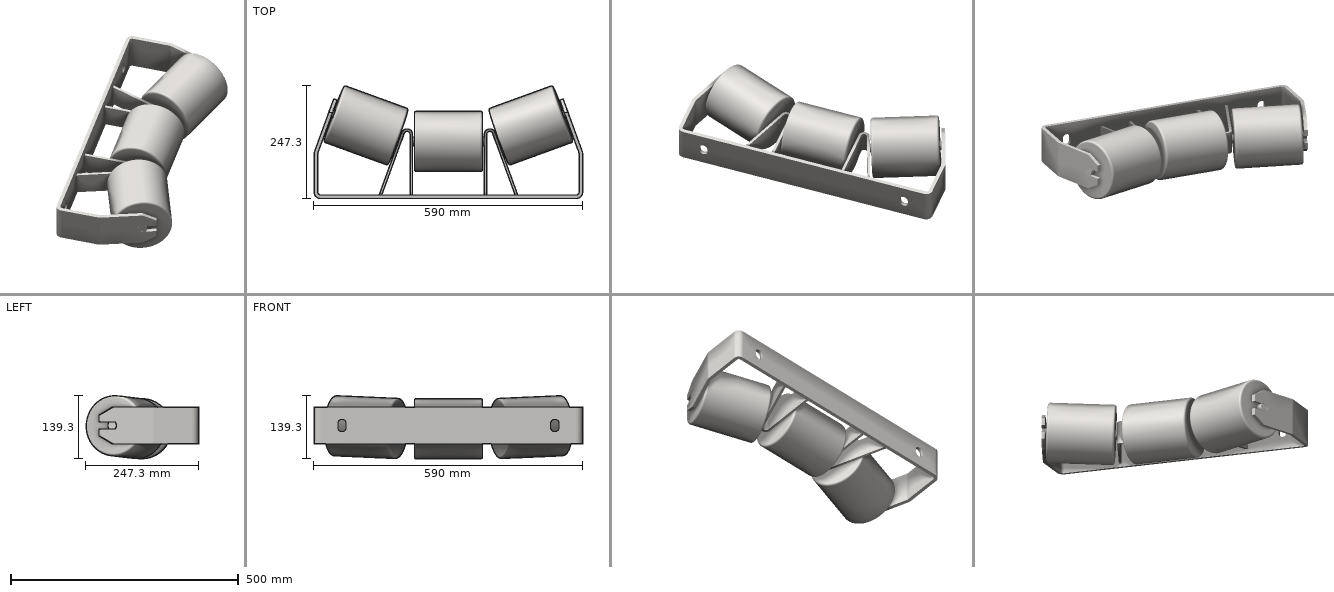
import cadquery as cq
import math

TILT = 20.0
COS = math.cos(math.radians(TILT))
SIN = math.sin(math.radians(TILT))

FRAME_LENGTH = 590.0
FRAME_WIDTH = 80.0
FRAME_THICKNESS = 8.0
BEND_RADIUS = 14.0
ARM_BEND_Y = 98.5
ARM_LENGTH = 123.5
TIP_CHAMFER_LENGTH = 30.5
TIP_CHAMFER_WIDTH = 17.0
MOUNT_SLOT_SPACING = 467.0
MOUNT_SLOT_WIDTH = 18.0
MOUNT_SLOT_HEIGHT = 27.0

ROLLER_LENGTH = 150.0
ROLLER_DIAMETER = 133.0
ROLLER_FILLET = 5.0
AXLE_DIAMETER = 20.0
AXLE_FLATS = 15.5
SLOT_CLEARANCE = 0.7
END_GAP = 3.5
SLANT_GAP = 4.0
AXLE_ON_ARM = 92.5
CENTRE_ROLLER_Y = 125.5
BRACKET_AXLE_Z = -7.0

BRACKET_THICKNESS = 6.0
BRACKET_BEND_RADIUS = 12.5
BRACKET_WIDTH = 50.0

BEND_CENTRE_X = BEND_RADIUS - FRAME_LENGTH / 2
ARM_X = BEND_CENTRE_X - BEND_RADIUS * COS
ARM_Y = ARM_BEND_Y + BEND_RADIUS * SIN

ARM_AXLE_X = ARM_X + AXLE_ON_ARM * SIN
ARM_AXLE_Y = ARM_Y + AXLE_ON_ARM * COS
ARM_STUB = FRAME_THICKNESS + END_GAP
SIDE_OFFSET = ARM_STUB + ROLLER_LENGTH / 2
SIDE_X = ARM_AXLE_X + SIDE_OFFSET * COS
SIDE_Y = ARM_AXLE_Y - SIDE_OFFSET * SIN
SLANT_STUB = BRACKET_THICKNESS + SLANT_GAP
SIDE_DROP = math.degrees(math.asin(-BRACKET_AXLE_Z / (ROLLER_LENGTH + ARM_STUB + SLANT_STUB)))
SIDE_Z = BRACKET_AXLE_Z / 2

STRAIGHT_STUB = BRACKET_THICKNESS + END_GAP
LEG_FACE_X = -(ROLLER_LENGTH / 2 + END_GAP)
FOLD_X = LEG_FACE_X - BRACKET_BEND_RADIUS
FOLD_TO_SIDE_ROLLER = ROLLER_LENGTH / 2 + SLANT_GAP + BRACKET_BEND_RADIUS
FOLD_Y = SIDE_Y + ((FOLD_X - SIDE_X) * COS - FOLD_TO_SIDE_ROLLER) / SIN


def bend_point(centre, radius, angle):
    """Point on a bend at an angle in degrees from +X."""
    turn = math.radians(angle)
    return centre[0] + radius * math.cos(turn), centre[1] + radius * math.sin(turn)


def mirrored(body):
    """Copy of a left body on the right side."""
    return body.mirror("YZ")


def make_half_strip():
    """Left half of the frame strip, a bent outline extruded over the width."""
    inner_radius = BEND_RADIUS - FRAME_THICKNESS
    corner = (BEND_CENTRE_X, BEND_RADIUS)
    elbow = (BEND_CENTRE_X, ARM_BEND_Y)
    tip_outer = (ARM_X + ARM_LENGTH * SIN, ARM_Y + ARM_LENGTH * COS)
    tip_inner = (tip_outer[0] + FRAME_THICKNESS * COS, tip_outer[1] - FRAME_THICKNESS * SIN)
    leaned = 180 - TILT
    return (
        cq.Workplane("XY", origin=(0, 0, -FRAME_WIDTH / 2))
        .moveTo(0, 0)
        .lineTo(corner[0], 0)
        .threePointArc(bend_point(corner, BEND_RADIUS, 225), bend_point(corner, BEND_RADIUS, 180))
        .lineTo(*bend_point(elbow, BEND_RADIUS, 180))
        .threePointArc(bend_point(elbow, BEND_RADIUS, 180 - TILT / 2), bend_point(elbow, BEND_RADIUS, leaned))
        .lineTo(*tip_outer)
        .lineTo(*tip_inner)
        .lineTo(*bend_point(elbow, inner_radius, leaned))
        .threePointArc(bend_point(elbow, inner_radius, 180 - TILT / 2), bend_point(elbow, inner_radius, 180))
        .lineTo(*bend_point(corner, inner_radius, 180))
        .threePointArc(bend_point(corner, inner_radius, 225), bend_point(corner, inner_radius, 270))
        .lineTo(0, FRAME_THICKNESS)
        .close()
        .extrude(FRAME_WIDTH)
    )


def arm_plane():
    """Plane on the arm's outer face at the axle: local x along the arm, normal into the frame."""
    return cq.Plane(origin=(ARM_AXLE_X, ARM_AXLE_Y, 0), xDir=(SIN, COS, 0), normal=(COS, -SIN, 0))


def cut_arm_tip(strip):
    """Chamfer both corners of the arm tip and cut the open axle slot."""
    tip = ARM_LENGTH - AXLE_ON_ARM
    half_width = FRAME_WIDTH / 2
    for side in (1, -1):
        corner = (
            cq.Workplane(arm_plane())
            .polyline([
                (tip, side * half_width),
                (tip - TIP_CHAMFER_LENGTH, side * half_width),
                (tip, side * (half_width - TIP_CHAMFER_WIDTH)),
            ])
            .close()
            .extrude(FRAME_THICKNESS)
        )
        strip = strip.cut(corner)
    slot_width = AXLE_FLATS + SLOT_CLEARANCE
    seat_diameter = AXLE_DIAMETER + SLOT_CLEARANCE
    slot_band = cq.Workplane(arm_plane()).rect(2 * tip, slot_width).extrude(FRAME_THICKNESS)
    seat = cq.Workplane(arm_plane()).circle(seat_diameter / 2).extrude(FRAME_THICKNESS).intersect(slot_band)
    mouth = cq.Workplane(arm_plane()).center(tip / 2, 0).rect(tip, slot_width).extrude(FRAME_THICKNESS)
    return strip.cut(seat).cut(mouth)


def make_frame():
    """Whole strip with two upright mounting slots in its back plate."""
    half = cut_arm_tip(make_half_strip())
    mount_slots = (
        cq.Workplane("XZ")
        .pushPoints([(-MOUNT_SLOT_SPACING / 2, 0), (MOUNT_SLOT_SPACING / 2, 0)])
        .slot2D(MOUNT_SLOT_HEIGHT, MOUNT_SLOT_WIDTH, 90)
        .extrude(-FRAME_THICKNESS)
    )
    return half.union(mirrored(half)).cut(mount_slots)


def make_roller(left_stub, right_stub):
    """Roller along X about the origin, with an axle stub at each end."""
    drum = (
        cq.Workplane("YZ", origin=(-ROLLER_LENGTH / 2, 0, 0))
        .circle(ROLLER_DIAMETER / 2)
        .extrude(ROLLER_LENGTH)
        .faces("<X or >X")
        .edges()
        .fillet(ROLLER_FILLET)
    )
    axle = (
        cq.Workplane("YZ", origin=(-ROLLER_LENGTH / 2 - left_stub, 0, 0))
        .circle(AXLE_DIAMETER / 2)
        .extrude(left_stub + ROLLER_LENGTH + right_stub)
    )
    return drum.union(axle)


def make_side_roller():
    """Left side roller, with flats on the axle end that sits in the arm slot."""
    roller = make_roller(ARM_STUB, SLANT_STUB)
    for side in (1, -1):
        flat = cq.Workplane().box(ARM_STUB, AXLE_DIAMETER, AXLE_DIAMETER).translate(
            (-ROLLER_LENGTH / 2 - ARM_STUB / 2, 0, side * (AXLE_FLATS + AXLE_DIAMETER) / 2)
        )
        roller = roller.cut(flat)
    return (
        roller.rotate((0, 0, 0), (0, 1, 0), SIDE_DROP)
        .rotate((0, 0, 0), (0, 0, 1), -TILT)
        .translate((SIDE_X, SIDE_Y, SIDE_Z))
    )


def make_bracket(rollers):
    """Left bracket: a straight and a slanted leg joined by a fold, bored for the axles of the rollers."""
    fold = (FOLD_X, FOLD_Y)
    inner_radius = BRACKET_BEND_RADIUS - BRACKET_THICKNESS
    slant_angle = 180 - TILT
    top_angle = slant_angle / 2

    def slant_foot(radius):
        start_x, start_y = bend_point(fold, radius, slant_angle)
        return start_x - (start_y - FRAME_THICKNESS) * SIN / COS, FRAME_THICKNESS

    bracket = (
        cq.Workplane("XY", origin=(0, 0, BRACKET_AXLE_Z - BRACKET_WIDTH / 2))
        .moveTo(LEG_FACE_X, FRAME_THICKNESS)
        .lineTo(*bend_point(fold, BRACKET_BEND_RADIUS, 0))
        .threePointArc(
            bend_point(fold, BRACKET_BEND_RADIUS, top_angle),
            bend_point(fold, BRACKET_BEND_RADIUS, slant_angle),
        )
        .lineTo(*slant_foot(BRACKET_BEND_RADIUS))
        .lineTo(*slant_foot(inner_radius))
        .lineTo(*bend_point(fold, inner_radius, slant_angle))
        .threePointArc(bend_point(fold, inner_radius, top_angle), bend_point(fold, inner_radius, 0))
        .lineTo(LEG_FACE_X - BRACKET_THICKNESS, FRAME_THICKNESS)
        .close()
        .extrude(BRACKET_WIDTH)
    )
    for roller in rollers:
        bracket = bracket.cut(roller)
    return bracket


frame = make_frame()
centre_roller = make_roller(STRAIGHT_STUB, STRAIGHT_STUB).translate((0, CENTRE_ROLLER_Y, BRACKET_AXLE_Z))
left_roller = make_side_roller()
left_bracket = make_bracket([centre_roller, left_roller])

bodies = [frame, centre_roller]
for left_body in (left_roller, left_bracket):
    bodies.append(left_body)
    bodies.append(mirrored(left_body))

result = cq.Compound.makeCompound([body.solids().val() for body in bodies])